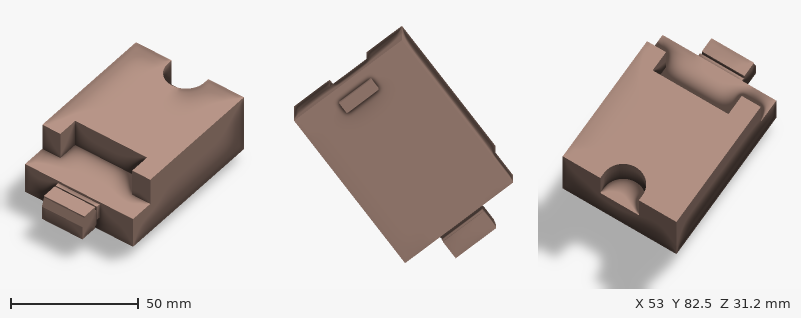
import cadquery as cq

body_width = 53.0
body_length = 71.6
body_height = 27.3

step_height = 14.6
step_length = 11.1
recess_width = 35.3
recess_length = 9.6

pocket_width = 18.0
pocket_length = 11.55
pocket_floor = step_height

foot_width = 15.6
foot_length = 5.0
foot_height = 3.9
foot_back_gap = 4.5

plate_width = 20.4
plate_thickness = 1.7
plate_bottom = 6.6
plate_top = 13.4

head_width = 19.9
head_reach = 82.45 - body_length
head_bottom = 2.6
head_top = 13.8
head_back = 2.6
nose_top_reach = 9.6
nose_slope_top = 13.0
nose_slope_bottom = 9.1

pad_top_reach = 1.6
pad_bottom_reach = 1.9
pad_top = 11.9
pad_bottom = 3.7
pad_top_bevel = 0.75
pad_bottom_bevel = 0.3


def block(width, y_start, y_end, z_start, z_end):
    """Box centred on X between the given Y and Z limits."""
    return (
        cq.Workplane("XY")
        .box(width, y_end - y_start, z_end - z_start, centered=(True, False, False))
        .translate((0, y_start, z_start))
    )


def make_body():
    body = block(body_width, 0, body_length, 0, body_height)
    step = block(body_width, 0, step_length, step_height, body_height)
    recess = block(recess_width, 0, step_length + recess_length, step_height, body_height)
    return body.cut(step).cut(recess)


def make_pocket():
    radius = pocket_width / 2
    round_centre = body_length - pocket_length + radius
    depth = body_height - pocket_floor
    round_end = (
        cq.Workplane("XY", origin=(0, round_centre, pocket_floor))
        .circle(radius)
        .extrude(depth)
    )
    mouth = block(pocket_width, round_centre, body_length, pocket_floor, body_height)
    return mouth.union(round_end)


def make_foot():
    foot_end = body_length - foot_back_gap
    return block(foot_width, foot_end - foot_length, foot_end, -foot_height, 0)


def make_plug_head():
    profile = [
        (-head_back, head_top),
        (-nose_top_reach, head_top),
        (-nose_top_reach, nose_slope_top),
        (-head_reach, nose_slope_bottom),
        (-head_reach, head_bottom),
        (-head_back, head_bottom),
        (-head_back, pad_bottom),
        (-pad_bottom_reach, pad_bottom + pad_bottom_bevel),
        (-pad_top_reach, pad_top - pad_top_bevel),
        (-head_back, pad_top),
    ]
    return cq.Workplane("YZ").polyline(profile).close().extrude(head_width / 2, both=True)


plate = block(plate_width, -plate_thickness, 0, plate_bottom, plate_top)

result = (
    make_body()
    .cut(make_pocket())
    .union(make_foot())
    .union(plate)
    .union(make_plug_head())
)